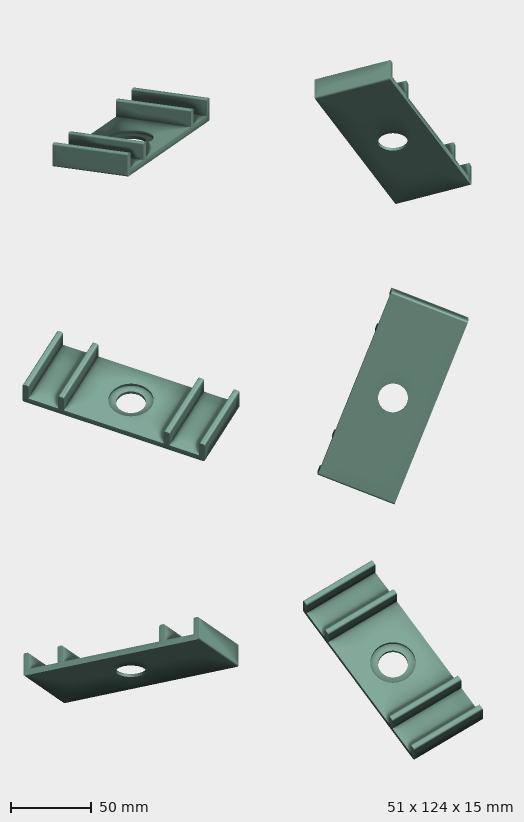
import cadquery as cq

width = 51.0
length = 124.0
height = 15.0

floor_thickness = 4.0
rib_thickness = 4.0
inner_rib_offset = 36.0
outer_rib_offset = (length - rib_thickness) / 2
rib_tip_radius = 1.2
bottom_edge_radius = 1.2

hole_diameter = 18.5
recess_diameter = 28.0
recess_depth = 2.0


def make_floor():
    """Flat base plate with its two lower end edges rounded."""
    plate = cq.Workplane("XY").box(width, length, floor_thickness, centered=(True, True, False))
    return plate.faces("<Z").edges("|X").fillet(bottom_edge_radius)


def make_rib(offset):
    """Upright wall across the full width, with a rounded tip."""
    foot = floor_thickness / 2
    rib = (
        cq.Workplane("XY", origin=(0, offset, foot))
        .box(width, rib_thickness, height - foot, centered=(True, True, False))
    )
    return rib.faces(">Z").edges("|X").fillet(rib_tip_radius)


body = make_floor()
for offset in (inner_rib_offset, outer_rib_offset):
    for side in (-1, 1):
        body = body.union(make_rib(side * offset))

through_hole = cq.Workplane("XY").circle(hole_diameter / 2).extrude(floor_thickness)
recess = (
    cq.Workplane("XY", origin=(0, 0, floor_thickness - recess_depth))
    .circle(recess_diameter / 2)
    .extrude(recess_depth)
)

result = body.cut(through_hole).cut(recess)